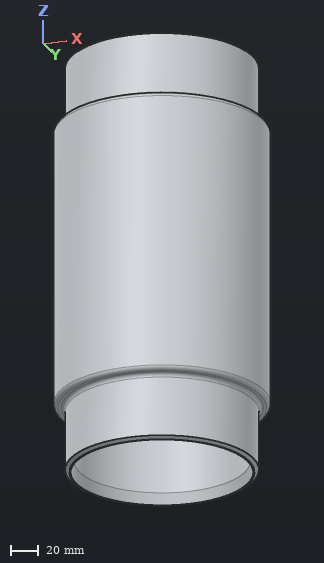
import cadquery as cq

length = 314.0
body_diameter = 156.7
neck_diameter = 139.7
bore_diameter = 127.0
neck_length = 50.0

body_round = 3.0
neck_fillet = 2.98
bevel_width = 3.0
bevel_height = 2.0
lead_in_depth = 8.8
lead_in_width = 2.35

body_radius = body_diameter / 2
neck_radius = neck_diameter / 2
bore_radius = bore_diameter / 2
lower_shoulder = neck_length
upper_shoulder = length - neck_length


def round_edges(solid, radius, rounding):
    """Round the circular edges of the given radius at both shoulders of the body."""
    tolerance = rounding / 2
    shoulder_edges = [
        edge
        for edge in solid.edges("%CIRCLE").vals()
        if abs(edge.radius() - radius) < tolerance
        and lower_shoulder - tolerance < edge.Center().z < upper_shoulder + tolerance
    ]
    return solid.newObject(shoulder_edges).fillet(rounding)


bevel_radius = neck_radius - bevel_width
mouth_radius = bore_radius + lead_in_width
wall_section = [
    (mouth_radius, 0),
    (bevel_radius, 0),
    (neck_radius, bevel_height),
    (neck_radius, lower_shoulder),
    (body_radius, lower_shoulder),
    (body_radius, upper_shoulder),
    (neck_radius, upper_shoulder),
    (neck_radius, length - bevel_height),
    (bevel_radius, length),
    (mouth_radius, length),
    (bore_radius, length - lead_in_depth),
    (bore_radius, lead_in_depth),
]
sleeve = cq.Workplane("XZ").polyline(wall_section).close().revolve(360, (0, 0, 0), (0, 1, 0))

sleeve = round_edges(sleeve, body_radius, body_round)
result = round_edges(sleeve, neck_radius, neck_fillet)